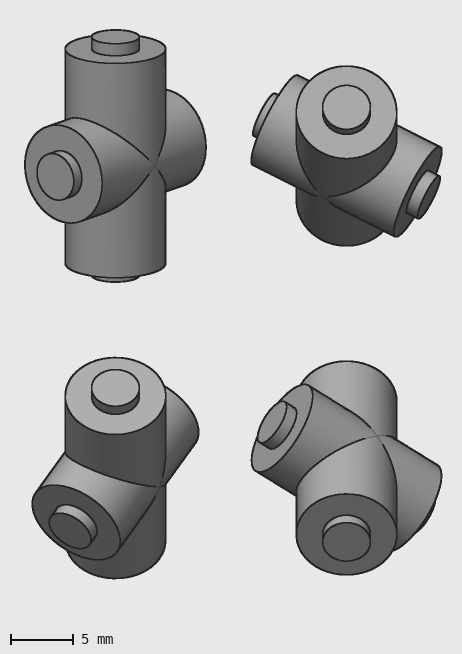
import cadquery as cq

total_height = 19.8
total_depth = 14.9
barrel_diameter = 8.0
pin_diameter = 3.8
barrel_height = 17.8
pin_length = (total_height - barrel_height) / 2
barrel_depth = total_depth - 2 * pin_length


def centred_cylinder(plane, diameter, length):
    """Cylinder through the origin, extending equally both ways along the plane normal."""
    return cq.Workplane(plane).circle(diameter / 2).extrude(length / 2, both=True)


def pinned_barrel(plane, barrel_length, total_length):
    """Barrel with a smaller coaxial pin standing out of each end."""
    barrel = centred_cylinder(plane, barrel_diameter, barrel_length)
    pins = centred_cylinder(plane, pin_diameter, total_length)
    return barrel.union(pins)


upright = pinned_barrel("XY", barrel_height, total_height)
crossbar = pinned_barrel("XZ", barrel_depth, total_depth)

result = upright.union(crossbar)